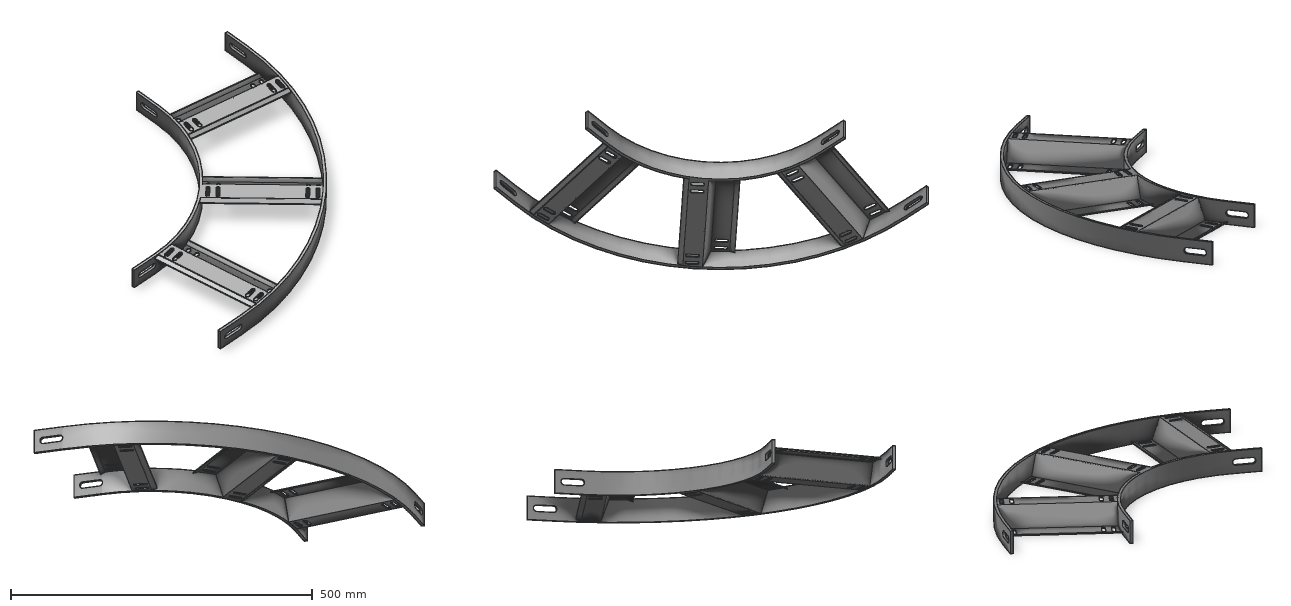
import cadquery as cq
import math

overall = 510.0
height = 40.0
tail_length = 50.0
bend_radius = overall - tail_length

rail_thickness = 5.0
inner_rail_radius = 250.0
rail_slot_length = 40.0
rail_slot_width = 11.0
rail_slot_center = 30.0

end_rung_angles = (10, 80)
middle_rung_angle = 45
sheet = 2.0
rung_width = 95.0
web_run = 14.0
lip_run = 8.5
lip_drop = 3.5

rung_slot_length = 23.0
rung_slot_width = 6.5
rung_slot_offset = 24.0
rung_slot_insets = (8.5, 25.5)

bend_center = (tail_length, tail_length)
rung_start = inner_rail_radius + rail_thickness
rung_end = bend_radius - rail_thickness


def rail(inner_radius):
    """A quarter-circle strip with a straight, slotted tail at both ends."""
    outer_radius = inner_radius + rail_thickness
    cx, cy = bend_center
    inner_mid = inner_radius * math.sqrt(0.5)
    outer_mid = outer_radius * math.sqrt(0.5)
    body = (
        cq.Workplane("XY")
        .moveTo(0, cy + inner_radius)
        .lineTo(cx, cy + inner_radius)
        .threePointArc((cx + inner_mid, cy + inner_mid), (cx + inner_radius, cy))
        .lineTo(cx + inner_radius, 0)
        .lineTo(cx + outer_radius, 0)
        .lineTo(cx + outer_radius, cy)
        .threePointArc((cx + outer_mid, cy + outer_mid), (cx, cy + outer_radius))
        .lineTo(0, cy + outer_radius)
        .close()
        .extrude(height)
    )
    x_tail_slot = (
        cq.Workplane("XZ", origin=(rail_slot_center, cy + outer_radius, height / 2))
        .slot2D(rail_slot_length, rail_slot_width)
        .extrude(rail_thickness)
    )
    y_tail_slot = (
        cq.Workplane("YZ", origin=(cx + inner_radius, rail_slot_center, height / 2))
        .slot2D(rail_slot_length, rail_slot_width)
        .extrude(rail_thickness)
    )
    return body.cut(x_tail_slot).cut(y_tail_slot)


def rung_section():
    """Corners of the Z-shaped section in the Y-Z plane, symmetric under a half turn."""
    half_width = rung_width / 2
    fold = half_width - lip_run
    web_slope = web_run / (height - sheet)
    web_shift = sheet * (math.hypot(1, web_slope) - web_slope) / 2
    upper_face = [
        (-half_width, height - lip_drop),
        (-fold, height),
        (web_shift - web_run / 2, height),
        (web_shift + web_run / 2, sheet),
        (fold, sheet),
        (half_width, sheet + lip_drop),
    ]
    lower_face = [(-y, height - z) for y, z in upper_face]
    return upper_face + lower_face


def rung_slots():
    """Cutters for the slots through both flanges at both ends of a rung along +X."""
    positions = [
        (x, side * rung_slot_offset)
        for inset in rung_slot_insets
        for x in (rung_start + inset, rung_end - inset)
        for side in (-1, 1)
    ]
    return (
        cq.Workplane("XY")
        .pushPoints(positions)
        .slot2D(rung_slot_length, rung_slot_width, angle=90)
        .extrude(height)
    )


def rung(angle):
    """One rung between the rails, turned about the bend centre; its ends follow the rails."""
    profile = cq.Workplane("YZ").polyline(rung_section()).close().extrude(bend_radius)
    gap = cq.Workplane("XY").circle(rung_end).circle(rung_start).extrude(height)
    body = profile.intersect(gap).cut(rung_slots())
    return body.rotate((0, 0, 0), (0, 0, 1), angle).translate((*bend_center, 0))


outer_rail = rail(rung_end)

inner_rail = rail(inner_rail_radius).union(rung(middle_rung_angle))

end_rungs = [rung(angle) for angle in end_rung_angles]

result = cq.Compound.makeCompound(
    [outer_rail.val(), inner_rail.val(), *[body.val() for body in end_rungs]]
)